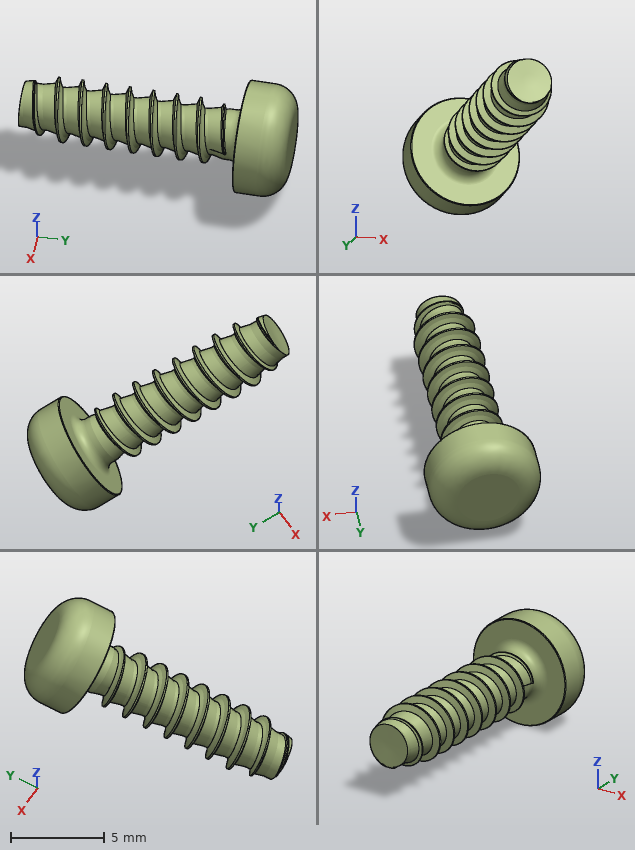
import cadquery as cq
import math


total_length = 14.69

head_diameter = 6.1
head_height = 2.67
head_round = head_height / 2
rim_chamfer = 0.05

shank_length = total_length - head_height
neck_radius = 1.37
neck_fillet = 0.53
neck_depth = 0.9
core_radius = 1.22
core_depth = 1.47
tip_rim_width = 0.06
tip_dish_depth = 0.06

pitch_count = 7
pitch_run = 9.02
pitch = pitch_run / pitch_count
crest_radius = 1.75
crest_half_width = 0.051
head_foot_offset = 0.26
flank_break_offset = 0.13
flank_break_radius = 1.45
thread_start_depth = 0.73
thread_turns = 9.25
fade_in_turns = 1.0
fade_out_from = 7.25
fade_out_to = 8.5
start_height = 0.2
vanishing_width = 0.4
root_sink_per_turn = 0.051
buried_foot_run = 0.03
buried_radius = 0.95
rail_span = 0.25
rail_steps = 6

root_high_radius = 1.37
root_high_offset = 0.18
root_low_offset = 0.82
root_slope = (root_high_radius - core_radius) / (root_low_offset - root_high_offset)
root_overrun = 0.12
root_end_offset = root_low_offset + root_overrun


def ridge_height(turn):
    """Share of the full ridge height, fading in and out at the thread ends."""
    if turn < fade_in_turns:
        return start_height + (1 - start_height) * turn / fade_in_turns
    if turn < fade_out_from:
        return 1.0
    return max(0.0, (fade_out_to - turn) / (fade_out_to - fade_out_from))


def thread_profile(turn):
    """Closed (axial offset, radius) section: two-step flank, crest, flank, sloped root."""
    height = ridge_height(turn)
    width = vanishing_width + (1 - vanishing_width) * height
    root_sink = root_sink_per_turn * max(0.0, turn - fade_out_from)

    def root_radius(offset):
        return root_high_radius - root_slope * (offset - root_high_offset) - root_sink

    def ridge_corner(offset, full_radius):
        flat_radius = root_radius(root_high_offset)
        return offset * width, flat_radius + height * (full_radius - flat_radius)

    flank_rise = (flank_break_radius - core_radius) / (head_foot_offset - flank_break_offset)
    buried_foot_offset = head_foot_offset + buried_foot_run
    tip_foot_offset = root_high_offset * width
    return [
        (-buried_foot_offset * width, buried_radius),
        (-buried_foot_offset * width, core_radius - flank_rise * buried_foot_run),
        ridge_corner(-flank_break_offset, flank_break_radius),
        ridge_corner(-crest_half_width, crest_radius),
        ridge_corner(crest_half_width, crest_radius),
        (tip_foot_offset, root_radius(tip_foot_offset)),
        (root_end_offset, root_radius(root_end_offset)),
        (root_end_offset, buried_radius),
    ]


def helix_point(turn, offset, radius):
    angle = 2 * math.pi * turn
    depth = thread_start_depth + pitch * turn + offset
    return cq.Vector(radius * math.cos(angle), -depth, radius * math.sin(angle))


def thread_rails(start_turn, end_turn):
    """Helical edges traced by the profile corners over a part of a turn."""
    span = end_turn - start_turn
    stations = [start_turn + span * i / rail_steps for i in range(rail_steps + 1)]
    sections = [[helix_point(turn, *corner) for corner in thread_profile(turn)] for turn in stations]
    return [cq.Edge.makeSpline(list(track)) for track in zip(*sections)]


def thread_end(turn):
    corners = [helix_point(turn, *corner) for corner in thread_profile(turn)]
    return cq.Face.makeFromWires(cq.Wire.makePolygon(corners, close=True))


def make_thread():
    """Ridge and sloped root, as ruled faces between helical edges."""
    faces = [thread_end(0), thread_end(thread_turns)]
    count = round(thread_turns / rail_span)
    for i in range(count):
        rails = thread_rails(i * rail_span, (i + 1) * rail_span)
        faces += [cq.Face.makeRuledSurface(rails[j - 1], rails[j]) for j in range(len(rails))]
    body = cq.Solid.makeSolid(cq.Shell.makeShell(faces))
    return cq.Workplane(body.fix())


def make_blank():
    """Head, neck and plain core, turned about the screw axis."""
    head_radius = head_diameter / 2
    arc_inset = 1 - math.sqrt(0.5)
    round_mid = (
        head_radius - head_round * arc_inset,
        head_height - head_round * arc_inset,
    )
    fillet_mid = (
        neck_radius + neck_fillet * arc_inset,
        -neck_fillet * arc_inset,
    )
    return (
        cq.Workplane("XY")
        .moveTo(0, head_height)
        .lineTo(head_radius - head_round, head_height)
        .threePointArc(round_mid, (head_radius, head_height - head_round))
        .lineTo(head_radius, rim_chamfer)
        .lineTo(head_radius - rim_chamfer, 0)
        .lineTo(neck_radius + neck_fillet, 0)
        .threePointArc(fillet_mid, (neck_radius, -neck_fillet))
        .lineTo(neck_radius, -neck_depth)
        .lineTo(core_radius, -core_depth)
        .lineTo(core_radius, -shank_length)
        .lineTo(0, -shank_length)
        .close()
        .revolve(360, (0, 0, 0), (0, 1, 0))
    )


def make_tip_cutter():
    """Everything past the tip plane, with a shallow cone that dishes the tip face."""
    dish_radius = core_radius - tip_rim_width
    cutter_end = -shank_length - total_length
    return (
        cq.Workplane("XY")
        .moveTo(0, -shank_length + tip_dish_depth)
        .lineTo(dish_radius, -shank_length)
        .lineTo(head_diameter, -shank_length)
        .lineTo(head_diameter, cutter_end)
        .lineTo(0, cutter_end)
        .close()
        .revolve(360, (0, 0, 0), (0, 1, 0))
    )


result = make_blank().union(make_thread()).cut(make_tip_cutter())